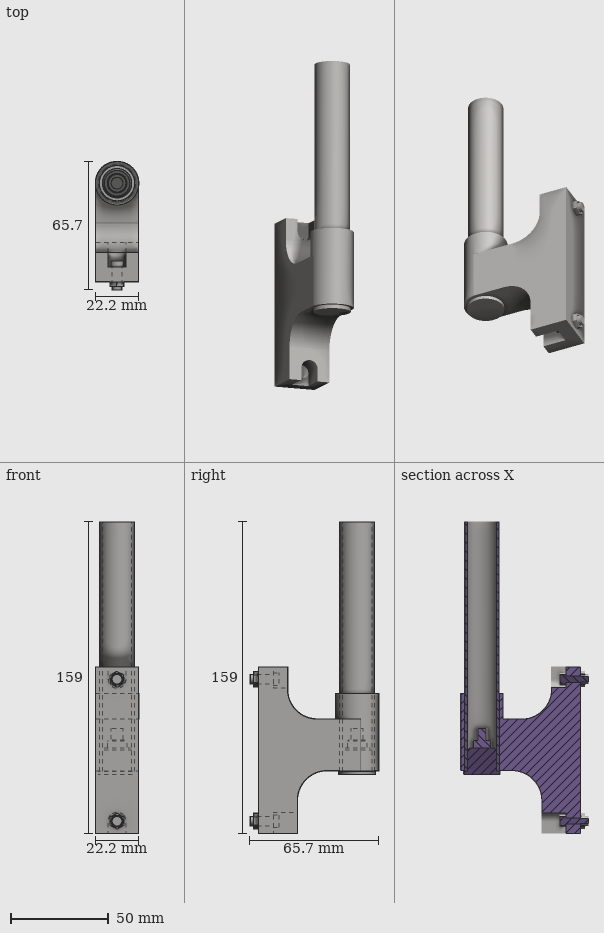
import cadquery as cq
import math


bracket_width = 22.0
bracket_height = 85.0
mount_face_y = -50.4
upper_bar_depth = 15.0
lower_bar_depth = 20.0
upper_back_y = mount_face_y + upper_bar_depth
lower_back_y = mount_face_y + lower_bar_depth
arm_bottom_z = 32.0
arm_top_z = 58.5
arm_fillet = 15.0
boss_diameter = 22.24
boss_top_z = 71.5

tube_diameter = 18.0
tube_bore = 15.0
tube_top_z = 159.0
tube_protrusion = 0.3
tube_bottom_z = arm_bottom_z - tube_protrusion

plug_flange_diameter = 19.0
plug_flange_thickness = 1.7
plug_height = 12.0
plug_top_z = tube_bottom_z + plug_height
plug_chamfer = 1.0

pin_diameter = 6.0
pin_height = 6.0
collar_diameter = 10.0
collar_height = 4.0
collar_chamfer = 0.5

bolt_inset = 6.3
bolt_heights = (bolt_inset, bracket_height - bolt_inset)
bolt_diameter = 5.0
overall_depth = 65.67
bolt_tip_y = boss_diameter / 2 - overall_depth
bolt_head_diameter = 6.4
bolt_head_thickness = 2.9
head_slot_depth = 7.3
head_seat_y = upper_back_y - head_slot_depth
head_slot_width = 9.0
nut_across_flats = 7.0
nut_bore = 6.0
nut_thickness = 2.4
nut_turns = (0.0, 5.0)


def cylinder_along_y(diameter, start_y, end_y, z):
    """Cylinder whose axis is parallel to Y, at X = 0 and the given height."""
    return (
        cq.Workplane("XZ", origin=(0, end_y, z))
        .circle(diameter / 2)
        .extrude(end_y - start_y)
    )


def cylinder_along_z(diameter, start_z, end_z):
    """Cylinder on the tube axis."""
    return (
        cq.Workplane("XY", origin=(0, 0, start_z))
        .circle(diameter / 2)
        .extrude(end_z - start_z)
    )


def make_head_slot(z, end_z, back_y):
    """Round-ended slot for a bolt head, open toward +Y and at the end of the bar."""
    round_end = cylinder_along_y(head_slot_width, head_seat_y, back_y, z)
    straight = (
        cq.Workplane("XZ", origin=(0, back_y, (z + end_z) / 2))
        .rect(head_slot_width, abs(end_z - z))
        .extrude(back_y - head_seat_y)
    )
    return round_end.union(straight)


def make_bracket():
    """Upright mounting bar with a filleted arm that carries the tube boss."""
    corner = arm_fillet * (1 - math.sqrt(0.5))
    side = (
        cq.Workplane("YZ", origin=(-bracket_width / 2, 0, 0))
        .moveTo(mount_face_y, 0)
        .lineTo(lower_back_y, 0)
        .lineTo(lower_back_y, arm_bottom_z - arm_fillet)
        .threePointArc(
            (lower_back_y + corner, arm_bottom_z - corner),
            (lower_back_y + arm_fillet, arm_bottom_z),
        )
        .lineTo(0, arm_bottom_z)
        .lineTo(0, arm_top_z)
        .lineTo(upper_back_y + arm_fillet, arm_top_z)
        .threePointArc(
            (upper_back_y + corner, arm_top_z + corner),
            (upper_back_y, arm_top_z + arm_fillet),
        )
        .lineTo(upper_back_y, bracket_height)
        .lineTo(mount_face_y, bracket_height)
        .close()
        .extrude(bracket_width)
    )
    flat_end_y = math.sqrt(boss_diameter**2 - bracket_width**2) / 2
    boss = cylinder_along_z(boss_diameter, arm_bottom_z, boss_top_z)
    arm_end = (
        cq.Workplane("XY", origin=(0, 0, arm_bottom_z))
        .rect(bracket_width, 2 * flat_end_y)
        .extrude(arm_top_z - arm_bottom_z)
    )
    boss_trim = (
        cq.Workplane("XY", origin=(0, 0, arm_bottom_z))
        .rect(2 * boss_diameter, 2 * flat_end_y)
        .extrude(arm_top_z - arm_bottom_z)
        .cut(arm_end)
    )
    body = side.union(boss.cut(boss_trim))
    body = body.cut(cylinder_along_z(tube_diameter, arm_bottom_z, boss_top_z))
    for z in bolt_heights:
        body = body.cut(cylinder_along_y(bolt_diameter, mount_face_y, head_seat_y, z))
    body = body.cut(make_head_slot(bolt_heights[0], 0, lower_back_y))
    body = body.cut(make_head_slot(bolt_heights[1], bracket_height, upper_back_y))
    return body


def make_tube():
    """Plain tube seated in the boss, with its lower end just below the arm."""
    outer = cylinder_along_z(tube_diameter, tube_bottom_z, tube_top_z)
    return outer.cut(cylinder_along_z(tube_bore, tube_bottom_z, tube_top_z))


def make_plug():
    """Chamfered plug filling the tube's lower end, with a flange against the tube."""
    stem = cylinder_along_z(tube_bore, tube_bottom_z, plug_top_z).faces(">Z").chamfer(plug_chamfer)
    flange = cylinder_along_z(
        plug_flange_diameter, tube_bottom_z - plug_flange_thickness, tube_bottom_z
    )
    return stem.union(flange)


def make_pin():
    """Pin with a chamfered collar that rests on top of the plug."""
    collar_top_z = plug_top_z + collar_height
    collar = cylinder_along_z(collar_diameter, plug_top_z, collar_top_z)
    collar = collar.faces(">Z").chamfer(collar_chamfer)
    return collar.union(cylinder_along_z(pin_diameter, collar_top_z, collar_top_z + pin_height))


def make_bolt(z):
    """Bolt along Y with its round head seated at the bottom of the slot."""
    shank = cylinder_along_y(bolt_diameter, bolt_tip_y, head_seat_y, z)
    head = cylinder_along_y(
        bolt_head_diameter, head_seat_y, head_seat_y + bolt_head_thickness, z
    )
    return shank.union(head)


def make_nut(z, turn):
    """Hexagonal nut against the mounting face, with clearance around the bolt."""
    corner_diameter = nut_across_flats / math.cos(math.pi / 6)
    return (
        cq.Workplane("XZ", origin=(0, mount_face_y, z))
        .transformed(rotate=(0, 0, 90 + turn))
        .polygon(6, corner_diameter)
        .circle(nut_bore / 2)
        .extrude(nut_thickness)
    )


bracket = make_bracket()
tube = make_tube()
plug = make_plug()
pin = make_pin()
bolts = [make_bolt(z) for z in bolt_heights]
nuts = [make_nut(z, turn) for z, turn in zip(bolt_heights, nut_turns)]

result = cq.Compound.makeCompound(
    [body.val() for body in (bracket, tube, plug, pin, *bolts, *nuts)]
)